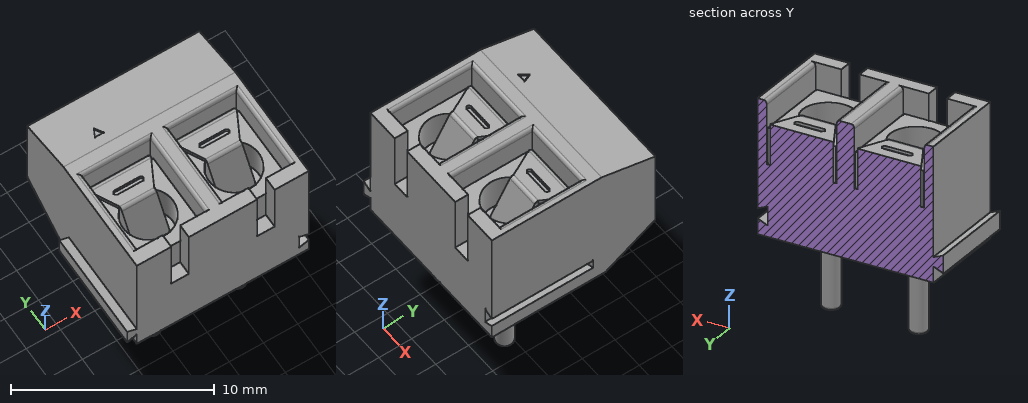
import cadquery as cq
import math


width = 10.04
depth = 10.0
height = 7.58
overall_height = 12.2
pole_count = 2
first_pole_x = 2.53
pole_pitch = 5.0
top_bevel_start = 6.71
top_bevel_drop = 0.78
bottom_bevel_start = 6.95
bottom_bevel_rise = 1.85

pocket_width = 4.39
pocket_rear = 6.01
lip_radius = 0.21
front_wall = 0.79

slit_width = 1.02
slit_depth = 3.56

block_width = 3.87
block_rear = 5.48
block_drop = 1.5
block_top = height - block_drop

plate_thickness = 0.23
plate_rear_width = 3.61
plate_front_width = 2.04
plate_rear = 5.72
plate_front = 3.8
tongue_foot = 2.49
tongue_slope = 60.0
bend_radius = 0.27
plate_top = block_top + plate_thickness
tongue_drop = (plate_front - tongue_foot) * math.tan(math.radians(tongue_slope))

well_diameter = 2.92
well_y = 2.92
pocket_floor = plate_top - tongue_drop

groove_length = 1.73
groove_width = 0.28
groove_y = 4.7
groove_depth = 0.2

rail_length = 6.2
rail_z = 1.17
rail_reach = 0.56
rail_root_height = 0.55
rail_tip_height = 1.02

pin_diameter = 1.02
pin_length = overall_height - height
pin_y = 2.64
pin_tip_radius = 0.18

mark_width = 0.52
mark_length = 0.52
mark_y = 7.36
mark_depth = 0.1

overlap = 0.12

pole_positions = [first_pole_x + i * pole_pitch for i in range(pole_count)]


def side_profile(points, x_start, length):
    """Extrude an outline of (Y, Z) points along +X."""
    return cq.Workplane("YZ", origin=(x_start, 0, 0)).polyline(points).close().extrude(length)


def make_housing():
    return side_profile(
        [
            (0, 0),
            (bottom_bevel_start, 0),
            (depth, bottom_bevel_rise),
            (depth, height - top_bevel_drop),
            (top_bevel_start, height),
            (0, height),
        ],
        0,
        width,
    )


def add_pockets(body):
    """Cut pockets with a rounded lip on three sides, then close them with the front wall."""
    wall_width = pocket_width - 2 * lip_radius
    wall_rear = pocket_rear - lip_radius
    for x in pole_positions:
        tool = cq.Workplane("XY").box(
            wall_width, wall_rear + overlap, height - pocket_floor + overlap, centered=(True, False, False)
        )
        body = body.cut(tool.translate((x, -overlap, pocket_floor)))
        rim = cq.selectors.BoxSelector(
            (x - pocket_width / 2, -overlap, height - overlap),
            (x + pocket_width / 2, pocket_rear, height + overlap),
        )
        body = body.edges(rim).edges("|Y or >Y").fillet(lip_radius)
    wall = cq.Workplane("XY").box(width, front_wall, height, centered=False)
    return body.union(wall)


def cut_slits(body):
    for x in pole_positions:
        slit = cq.Workplane("XY", origin=(x, front_wall / 2, height)).rect(slit_width, front_wall)
        body = body.cut(slit.extrude(-slit_depth))
    return body


def clamp_block(x):
    """Block standing behind the front wall, bored from above by the wire well."""
    block = cq.Workplane("XY").box(
        block_width, block_rear - front_wall, block_top - pocket_floor, centered=(True, False, False)
    )
    well = cq.Workplane("XY", origin=(x, well_y, pocket_floor)).circle(well_diameter / 2)
    return block.translate((x, front_wall, pocket_floor)).cut(well.extrude(block_top - pocket_floor))


def clamp_plate(x):
    """Trapezoidal plate with a rounded rear edge, a tongue sloping into the well and a groove."""
    section = side_profile(
        [
            (plate_rear, plate_top),
            (plate_front, plate_top),
            (tongue_foot, pocket_floor),
            (plate_rear, pocket_floor),
        ],
        x - plate_rear_width / 2,
        plate_rear_width,
    )
    section = section.faces(">Z").edges("|X").fillet(bend_radius)

    taper_rear = plate_rear - bend_radius
    taper_front = plate_front + bend_radius * math.tan(math.radians(tongue_slope / 2))
    right_side = [
        (plate_rear_width / 2, plate_rear),
        (plate_rear_width / 2, taper_rear),
        (plate_front_width / 2, taper_front),
        (plate_front_width / 2, tongue_foot),
    ]
    left_side = [(-px, py) for px, py in reversed(right_side)]
    plan = cq.Workplane("XY", origin=(x, 0, pocket_floor)).polyline(right_side + left_side).close()
    plate = section.intersect(plan.extrude(tongue_drop))

    groove = cq.Workplane("XY", origin=(x, groove_y, plate_top)).slot2D(groove_length, groove_width)
    return plate.cut(groove.extrude(-groove_depth))


def add_clamps(body):
    for x in pole_positions:
        body = body.union(clamp_block(x)).union(clamp_plate(x))
    return body


def dovetail(x_root):
    """Dovetail bar that widens toward -X from its root at x_root."""
    return (
        cq.Workplane("XZ", origin=(x_root, 0, rail_z))
        .polyline(
            [
                (0, -rail_root_height / 2),
                (0, rail_root_height / 2),
                (-rail_reach, rail_tip_height / 2),
                (-rail_reach, -rail_tip_height / 2),
            ]
        )
        .close()
        .extrude(-rail_length)
    )


def add_pins(body):
    for x in pole_positions:
        pin = cq.Workplane("XY", origin=(x, pin_y, 0)).circle(pin_diameter / 2).extrude(-pin_length)
        body = body.union(pin.faces("<Z").edges().fillet(pin_tip_radius))
    return body


def cut_pole_mark(body):
    """Engrave a triangle on the sloping top, normal to that face."""
    slope = math.atan2(top_bevel_drop, depth - top_bevel_start)
    base = (mark_y - top_bevel_start) / math.cos(slope)
    tip = base + mark_length / math.cos(slope)
    bevel = cq.Plane(
        origin=(pole_positions[0], top_bevel_start, height),
        xDir=(1, 0, 0),
        normal=(0, math.sin(slope), math.cos(slope)),
    )
    outline = [(-mark_width / 2, base), (mark_width / 2, base), (0, tip)]
    return body.cut(cq.Workplane(bevel).polyline(outline).close().extrude(-mark_depth))


result = make_housing()
result = add_pockets(result)
result = cut_slits(result)
result = add_clamps(result)
result = result.union(dovetail(0)).cut(dovetail(width))
result = add_pins(result)
result = cut_pole_mark(result)